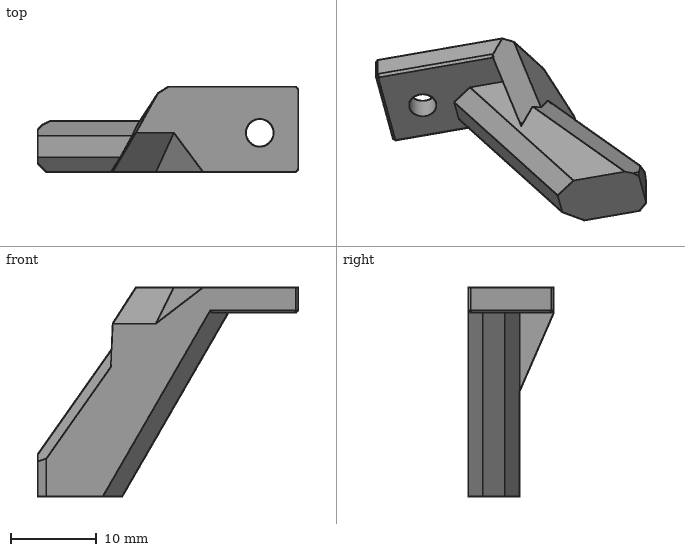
import cadquery as cq
import math

LENGTH = 30.43
WIDTH = 10.0
HEIGHT = 24.44

PLATE_THICKNESS = 3.0
PLATE_CHAMFER = 0.3
PLATE_START = 8.0
HOLE_DIAMETER = 3.2
HOLE_X = LENGTH - 4.5
HOLE_Y = 4.6
PLATE_BOTTOM = HEIGHT - PLATE_THICKNESS

LEG_WIDTH = 6.0
LEG_CHAMFER = 1.73
TIP_CHAMFER = 1.0
UNDERSIDE_FOOT_X = 9.87
UNDERSIDE_SETBACK = 2.27
UNDERSIDE_SLOPE = math.tan(math.radians(60))
RIDGE_Z = 4.94
RIDGE_SLOPE = 1.42
TOP_FALL = -0.79
FRONT_CHAMFER_RISE = 1.12
BACK_CHAMFER_FALL = -2.9

FACE_ANGLE = math.radians(61)
FACE_TOP_X = 8.92
FACE_LEAN = 0.042
GUSSET_THICKNESS = 1.85
CORNER_X = 15.25
CORNER_ANGLE = math.radians(32.5)
CORNER_LEAN = 0.215

RELIEF_DEPTH = 4.24
RELIEF_WIDTH = 4.6
RELIEF_LOW_X = 13.8
RELIEF_HIGH_X = 15.9
RELIEF_END_X = 19.33

REACH = 4 * LENGTH

FACE_NORMAL = (-math.sin(FACE_ANGLE), math.cos(FACE_ANGLE), FACE_LEAN * math.sin(FACE_ANGLE))
FACE_POINT = (FACE_TOP_X, 0, HEIGHT)


def half_space(point, outward):
    """Large block on the outward side of a plane."""
    return cq.Workplane(cq.Plane(origin=point, normal=outward)).rect(REACH, REACH).extrude(REACH)


def plane_normal(a, b, c):
    """Normal of the plane through three points."""
    first = cq.Vector(*b) - cq.Vector(*a)
    second = cq.Vector(*c) - cq.Vector(*a)
    return first.cross(second).toTuple()


def make_leg_blank():
    """Leg with its underside and tip finished, still full height on top."""
    underside_top_x = UNDERSIDE_FOOT_X + PLATE_BOTTOM / UNDERSIDE_SLOPE
    outline = [
        (0, 0),
        (UNDERSIDE_FOOT_X, 0),
        (underside_top_x, PLATE_BOTTOM),
        (underside_top_x, HEIGHT),
        (0, HEIGHT),
    ]
    blank = cq.Workplane("XZ").polyline(outline).close().extrude(-LEG_WIDTH)
    blank = blank.edges("|Z and <X").chamfer(TIP_CHAMFER)
    chamfer_foot_x = UNDERSIDE_FOOT_X - UNDERSIDE_SETBACK
    lean = UNDERSIDE_SETBACK / LEG_CHAMFER
    for side_y, direction in ((0, -1), (LEG_WIDTH, 1)):
        outward = (1, direction * lean, -1 / UNDERSIDE_SLOPE)
        blank = blank.cut(half_space((chamfer_foot_x, side_y, 0), outward))
    return blank


def trim_leg_top(blank):
    """Cut the sloping top facet and its two chamfers."""
    front_y = LEG_CHAMFER
    back_y = LEG_WIDTH - LEG_CHAMFER
    back_z = RIDGE_Z + TOP_FALL * (back_y - front_y)
    facets = (
        (front_y, RIDGE_Z, TOP_FALL),
        (front_y, RIDGE_Z, FRONT_CHAMFER_RISE),
        (back_y, back_z, BACK_CHAMFER_FALL),
    )
    leg = blank
    for ridge_y, ridge_z, rise in facets:
        leg = leg.cut(half_space((0, ridge_y, ridge_z), (-RIDGE_SLOPE, -rise, 1)))
    return leg


def make_plate():
    """Mounting plate with broken free-end corners and bottom edges."""
    plate = cq.Workplane("XY").box(LENGTH - PLATE_START, WIDTH, PLATE_THICKNESS, centered=False)
    plate = plate.translate((PLATE_START, 0, PLATE_BOTTOM))
    plate = plate.edges("|Z and >X").chamfer(PLATE_CHAMFER)
    return plate.faces("<Z").edges().chamfer(PLATE_CHAMFER)


def make_gusset():
    """Slab behind the slanted end face, reaching from the leg to the plate's back side."""
    start_y = LEG_WIDTH / 2
    slab = cq.Workplane("XY").box(LENGTH, WIDTH - start_y, HEIGHT, centered=False)
    slab = slab.translate((0, start_y, 0))
    back_point = (FACE_TOP_X + GUSSET_THICKNESS / math.sin(FACE_ANGLE), 0, HEIGHT)
    return slab.cut(half_space(back_point, tuple(-part for part in FACE_NORMAL)))


def trim_head(head):
    """Cut the slanted end face and the leaning back corner."""
    faced = head.cut(half_space(FACE_POINT, FACE_NORMAL))
    corner_normal = (-math.sin(CORNER_ANGLE), math.cos(CORNER_ANGLE), -CORNER_LEAN)
    return faced.cut(half_space((CORNER_X, WIDTH, HEIGHT), corner_normal))


def make_relief():
    """Space above two facets: a ramp along X and a facet closing its inner end."""
    low = (RELIEF_LOW_X, 0, HEIGHT - RELIEF_DEPTH)
    high = (RELIEF_HIGH_X, RELIEF_WIDTH, HEIGHT)
    end = (RELIEF_END_X, 0, HEIGHT)
    ramp = half_space(low, (0, -RELIEF_DEPTH, RELIEF_WIDTH))
    return ramp.intersect(half_space(low, plane_normal(low, end, high)))


def make_hole():
    """Vertical bore for the mounting screw."""
    return cq.Workplane("XY").center(HOLE_X, HOLE_Y).circle(HOLE_DIAMETER / 2).extrude(HEIGHT)


leg_blank = make_leg_blank()
leg = trim_leg_top(leg_blank)
head = trim_head(leg_blank.union(make_plate()).union(make_gusset()))
result = head.union(leg).cut(make_relief()).cut(make_hole())